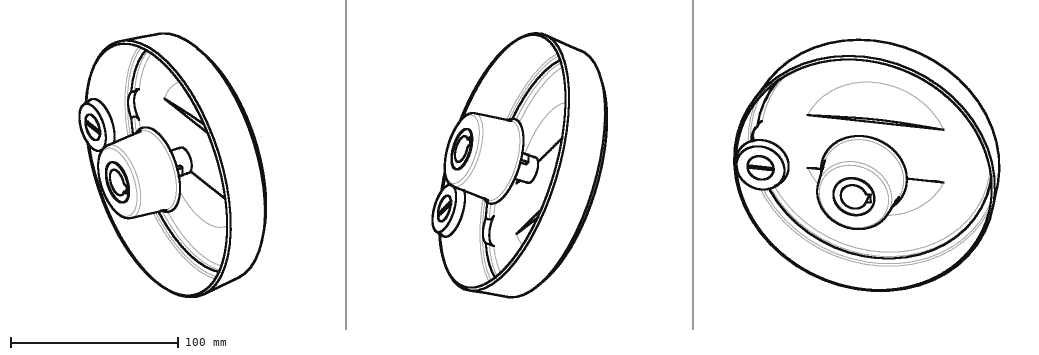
import cadquery as cq

rim_radius = 79.8
rim_back_radius = 76.8
rim_depth = 28.2
rim_front_chamfer = 1.6
rim_back_fillet = 1.1

plate_radius = 72.1
plate_height = 4.3
plate_fillet = 1.9
housing_radius = 13.0

cap_radius = 45.3
cap_slot_width = 36.0
cap_slot_edge_height = 3.5

hub_base_radius = 24.7
hub_tip_radius = 22.8
hub_length = 27.3
hub_base_fillet = 1.6
hub_tip_fillet = 1.6
bushing_diameter = 25.0
bushing_protrusion = 0.5
bore_diameter = 16.0
bore_depth = 47.9
keyway_width = 5.3
keyway_reach = 10.4
keyway_depth = 39.9

handle_x = -62.1
handle_base_radius = 16.1
handle_tip_radius = 14.7
handle_height = 5.3
screw_radius = 8.0
screw_recess = 0.2
screw_slot_width = 1.6
screw_slot_depth = 1.6

plate_back = rim_depth + plate_height
bushing_front = -hub_length - bushing_protrusion


def cylinder(radius, y_start, y_end, x=0.0):
    """Cylinder along Y between two Y positions."""
    axis = cq.Vector(0, 1, 0)
    base = cq.Vector(x, y_start, 0)
    return cq.Workplane(cq.Solid.makeCylinder(radius, y_end - y_start, base, axis))


def cone(start_radius, end_radius, y_start, height, direction, x=0.0):
    """Cone frustum growing along +Y (direction 1) or -Y (direction -1)."""
    axis = cq.Vector(0, direction, 0)
    return cq.Workplane(cq.Solid.makeCone(start_radius, end_radius, height, cq.Vector(x, y_start, 0), axis))


def make_rim():
    straight_depth = rim_depth - rim_front_chamfer
    front = cone(rim_radius - rim_front_chamfer, rim_radius, 0, rim_front_chamfer, 1)
    back = cone(rim_radius, rim_back_radius, rim_front_chamfer, straight_depth, 1)
    return front.union(back.faces(">Y").edges().fillet(rim_back_fillet))


def make_back_plate():
    plate = cylinder(plate_radius, rim_depth, plate_back).faces(">Y").edges().fillet(plate_fillet)
    housing = cylinder(housing_radius, rim_depth, plate_back, handle_x)
    return plate.union(housing)


def make_split_cap():
    slope = cap_slot_edge_height / (cap_radius - cap_slot_width / 2)
    apex_height = slope * cap_radius
    cap = cone(cap_radius, 0, plate_back, apex_height, 1)
    slot = (
        cq.Workplane("XY")
        .box(2 * cap_radius, apex_height, cap_slot_width, centered=(True, False, True))
        .translate((0, plate_back, 0))
    )
    return cap.cut(slot)


def make_hub():
    profile = (
        cq.Workplane("XY")
        .lineTo(hub_base_radius + hub_base_fillet, 0)
        .radiusArc((hub_base_radius, -hub_base_fillet), -hub_base_fillet)
        .lineTo(hub_tip_radius, -hub_length + hub_tip_fillet)
        .radiusArc((hub_tip_radius - hub_tip_fillet, -hub_length), hub_tip_fillet)
        .lineTo(0, -hub_length)
        .close()
    )
    hub = profile.revolve(360, (0, 0, 0), (0, 1, 0))
    return hub.union(cylinder(bushing_diameter / 2, bushing_front, 0))


def make_keyed_bore():
    bore = cylinder(bore_diameter / 2, bushing_front, bushing_front + bore_depth)
    keyway = (
        cq.Workplane("XY")
        .box(keyway_reach, keyway_depth, keyway_width, centered=(False, False, True))
        .translate((0, bushing_front, 0))
    )
    return bore.union(keyway)


def make_handle_end():
    handle = cone(handle_base_radius, handle_tip_radius, 0, handle_height, -1, handle_x)
    screw_face = -handle_height + screw_recess
    recess = cylinder(screw_radius, -handle_height, screw_face, handle_x)
    slot_blank = cq.Workplane("XY").box(2 * screw_radius, 2 * screw_slot_depth, screw_slot_width)
    slot_reach = cylinder(screw_radius, screw_face, screw_face + screw_slot_depth, handle_x)
    slot = slot_blank.translate((handle_x, screw_face, 0)).intersect(slot_reach)
    return handle.cut(recess).cut(slot)


result = (
    make_rim()
    .union(make_back_plate())
    .union(make_split_cap())
    .union(make_hub())
    .cut(make_keyed_bore())
    .union(make_handle_end())
)